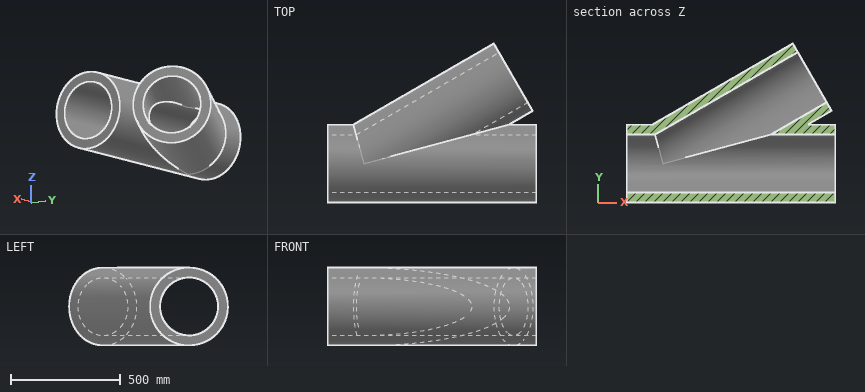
import cadquery as cq
import math

OUTER_DIAMETER = 355.6
BORE_DIAMETER = 263.55

RUN_LENGTH = 952.5
BRANCH_LENGTH = 787.4
BRANCH_ANGLE = 30.0

RUN_START_X = BRANCH_LENGTH - RUN_LENGTH


def cylinder(diameter, length, start, direction):
    """Solid cylinder of the given length, from start along direction."""
    return cq.Workplane(cq.Solid.makeCylinder(diameter / 2, length, start, direction))


def run_cylinder(diameter):
    """Cylinder over the full length of the main run."""
    return cylinder(diameter, RUN_LENGTH, cq.Vector(RUN_START_X, 0, 0), cq.Vector(1, 0, 0))


def branch_cylinder(diameter):
    """Cylinder from the axis crossing to the branch end face."""
    angle = math.radians(BRANCH_ANGLE)
    direction = cq.Vector(math.cos(angle), math.sin(angle), 0)
    return cylinder(diameter, BRANCH_LENGTH, cq.Vector(0, 0, 0), direction)


def lateral(diameter):
    """Run and branch cylinders of one diameter, joined."""
    return run_cylinder(diameter).union(branch_cylinder(diameter))


result = lateral(OUTER_DIAMETER).cut(lateral(BORE_DIAMETER))